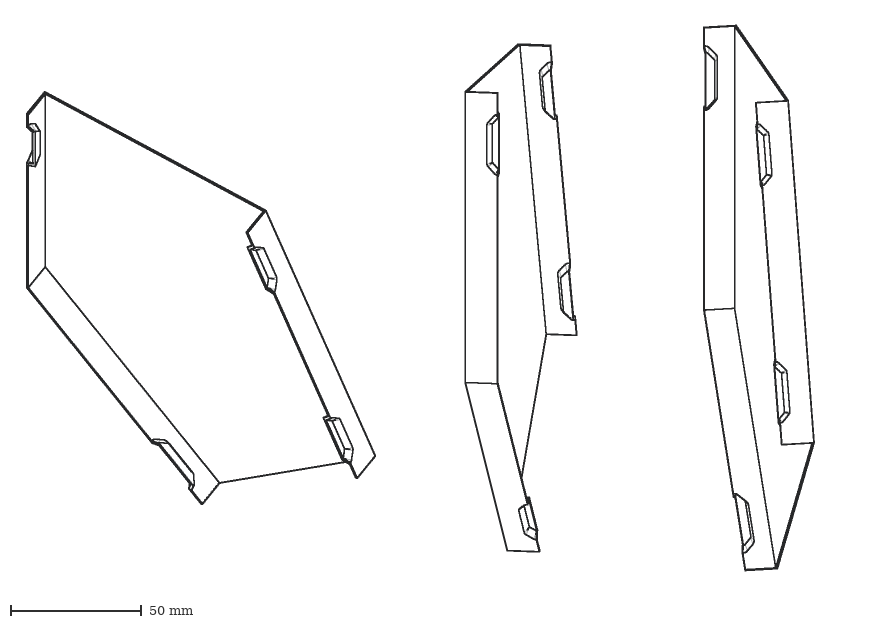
import cadquery as cq
import math

width = 151.5
height = 193.0
depth = 12.5
plate_thickness = 0.73
flange_thickness = 0.73
recess_skin = 1.0

bottom_x = 80.0
top_width = 101.3
top_left = (0, height)
lower_left = (0, bottom_x)
bottom = (bottom_x, 0)
right = (width, width - bottom_x)
top_right = (top_width, height)

recess_spacing = 20.0
floor_crest_half_length = 7.5
floor_rim_half_length = 10.2
floor_height = 2.5
recess_depth = 2.9
draft_inset = 1.5
draft_angle = math.degrees(math.atan(draft_inset / recess_depth))


def flange_plane(start, end):
    """Plane on a flange's outer face: x runs along the side, y into the depth, z outward."""
    length = math.dist(start, end)
    along = ((end[0] - start[0]) / length, 0, (end[1] - start[1]) / length)
    outward = (-along[2], 0, along[0])
    return cq.Plane(origin=(start[0], 0, start[1]), xDir=along, normal=outward)


def recess_solid(plane, center, face_depth=0, skin=0):
    """Drafted trapezoid with round corners, grown by the skin, from face_depth inward, trimmed at the rim."""
    floor = cq.Workplane(plane).workplane(offset=-recess_depth - skin).polyline([
        (center - floor_rim_half_length, 0),
        (center - floor_crest_half_length, floor_height),
        (center + floor_crest_half_length, floor_height),
        (center + floor_rim_half_length, 0),
    ]).close()
    if skin:
        floor = floor.offset2D(skin)
    body = floor.extrude(recess_depth + skin - face_depth, taper=-draft_angle)
    below_rim = (
        cq.Workplane(plane)
        .center(center, -depth / 2)
        .rect(4 * floor_rim_half_length, depth)
        .extrude(depth, both=True)
    )
    return body.cut(below_rim)


def flange(start, end, recess_centers):
    plane = flange_plane(start, end)
    length = math.dist(start, end)
    body = cq.Workplane(plane).rect(length, depth, centered=False).extrude(-flange_thickness)
    for center in recess_centers:
        body = body.union(recess_solid(plane, center, flange_thickness, recess_skin))
    for center in recess_centers:
        body = body.cut(recess_solid(plane, center))
    return body


outline = [top_left, lower_left, bottom, right, top_right]
plate = cq.Workplane("XZ", origin=(0, depth, 0)).polyline(outline).close().extrude(plate_thickness)

right_length = math.dist(top_right, right)
left_length = math.dist(lower_left, top_left)
left_flange = flange(lower_left, top_left, [left_length - recess_spacing])
right_flange = flange(top_right, right, [recess_spacing, right_length - recess_spacing])
lower_flange = flange(bottom, lower_left, [recess_spacing])

result = plate.union(left_flange).union(right_flange).union(lower_flange)